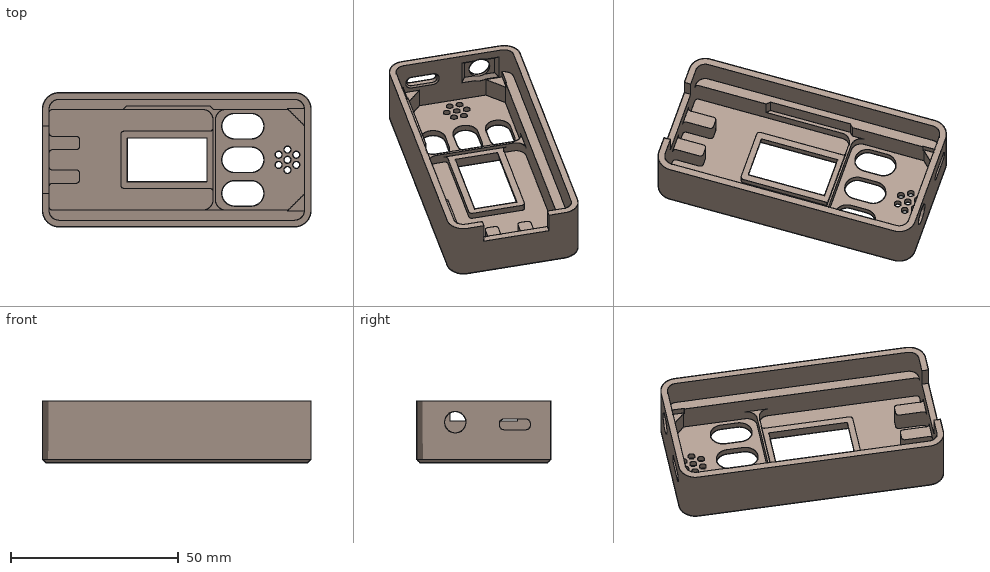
import cadquery as cq
import math

length = 80.0
width = 40.0
height = 18.5
wall = 2.0
inner_corner_radius = 3.0
corner_radius = inner_corner_radius + wall
bottom_chamfer = 1.0

floor_top = 2.0
frame_top = 3.9
divider_top = 5.0
tab_top = 8.0
post_top = 8.0
ledge_top = 10.0

inner_end = length / 2 - wall
inner_side = width / 2 - wall
ledge_width = 3.0
ledge_side = inner_side - ledge_width
ledge_span = (-ledge_side, ledge_side)
divider_left = 10.8
divider_thickness = 0.7
divider_right = divider_left + divider_thickness
divider_fillet = 3.0
small_fillet = 1.0

relief_depth = 1.0
relief_left = -16.0
relief_right = 11.0

window_length = 23.7
window_width = 13.0
window_x = -2.9
window_flare = 1.0
frame_left = -16.6
frame_width = 17.0

tab_right = -29.0
tab_width = 4.0
tab_pitch = 10.0

button_length = 12.5
button_width = 7.5
button_x = 19.7
button_pitch = 10.0

speaker_x = 33.0
speaker_diameter = 2.0
speaker_ring_radius = 3.0
speaker_ring_count = 6

post_leg = 5.0
post_side = 15.2

notch_width = 20.0
notch_depth = 6.0

usb_y = 9.3
usb_z = 11.4
usb_length = 9.2
usb_height = 3.2
usb_radius = 1.4
usb_bevel = 0.5

jack_y = -8.5
jack_z = 12.1
jack_diameter = 6.3
jack_recess_width = 9.3
jack_recess_height = 5.6
jack_bevel = 1.0


def box_between(x_range, y_range, z_range):
    """Box spanning the given (low, high) ranges."""
    spans = (x_range, y_range, z_range)
    sizes = [high - low for low, high in spans]
    corner = tuple(low for low, high in spans)
    return cq.Workplane("XY").box(*sizes, centered=False).translate(corner)


def make_shell():
    """Rounded tray, hollow down to the ledges."""
    body = cq.Workplane("XY").box(length, width, height, centered=(True, True, False))
    body = body.edges("|Z").fillet(corner_radius).faces("<Z").chamfer(bottom_chamfer)
    cavity = (
        cq.Workplane("XY", origin=(0, 0, ledge_top))
        .rect(2 * inner_end, 2 * inner_side)
        .extrude(height - ledge_top)
        .edges("|Z").fillet(inner_corner_radius)
    )
    return body.cut(cavity)


def make_trough():
    """Space between the ledges, above the divider."""
    trough = box_between((-inner_end, inner_end), ledge_span, (divider_top, ledge_top))
    return trough.edges("|Z and <X").fillet(small_fillet)


def make_display_pocket():
    """Pocket left of the divider."""
    pocket = box_between((-inner_end, divider_left), ledge_span, (floor_top, divider_top))
    pocket = pocket.edges("|Z and >X").fillet(divider_fillet)
    return pocket.edges("|Z and <X").fillet(small_fillet)


def make_button_pocket():
    """Pocket right of the divider."""
    pocket = box_between((divider_right, inner_end), ledge_span, (floor_top, divider_top))
    return pocket.edges("|Z and <X").fillet(divider_fillet)


def make_post(side):
    """Triangular prism in a +X corner; side is +1 for +Y and -1 for -Y."""
    return (
        cq.Workplane("XY")
        .moveTo(inner_end, side * post_side)
        .lineTo(inner_end - post_leg, side * post_side)
        .lineTo(inner_end, side * (post_side - post_leg))
        .close()
        .extrude(post_top)
    )


def make_post_clearance(side):
    """Small step in the ledge above a corner post."""
    y_range = sorted((0, side * post_side))
    return box_between((inner_end - post_leg, inner_end), y_range, (post_top, ledge_top))


def make_ledge_relief():
    """Shallow relief with slanted ends in the +Y ledge."""
    return (
        cq.Workplane("XY", origin=(0, 0, divider_top))
        .moveTo(relief_left, ledge_side)
        .lineTo(relief_left + relief_depth, ledge_side + relief_depth)
        .lineTo(relief_right - relief_depth, ledge_side + relief_depth)
        .lineTo(relief_right, ledge_side)
        .close()
        .extrude(ledge_top - divider_top)
    )


def make_raised_pad(tip, root, y_range, top):
    """Pad with a rounded free end at x = tip, blended into a wall face at x = root."""
    low_y, high_y = y_range
    buried_end = root + math.copysign(divider_thickness, root - tip)
    z_range = (0, top)
    pad = box_between(sorted((tip, buried_end)), y_range, z_range)
    pad = pad.edges("|Z").edges("<X" if tip < root else ">X").fillet(small_fillet)

    strip_span = (low_y - 2 * small_fillet, high_y + 2 * small_fillet)
    strip = box_between(sorted((root, buried_end)), strip_span, z_range)
    reach = small_fillet / 2
    inside_corners = cq.selectors.BoxSelector(
        (root - reach, low_y - reach, 0), (root + reach, high_y + reach, top)
    )
    return pad.union(strip).edges("|Z").edges(inside_corners).fillet(small_fillet)


def make_frame():
    """Raised frame around the window, running into the divider."""
    return make_raised_pad(frame_left, divider_left, (-frame_width / 2, frame_width / 2), frame_top)


def make_tab(y):
    """Support tab centred on y, running into the -X wall."""
    return make_raised_pad(tab_right, -inner_end, (y - tab_width / 2, y + tab_width / 2), tab_top)


def make_window():
    """Display window whose sides flare out towards the underside."""
    return (
        cq.Workplane("XY", origin=(window_x, 0, 0))
        .rect(window_length + 2 * window_flare, window_width + 2 * window_flare)
        .workplane(offset=frame_top)
        .rect(window_length, window_width)
        .loft(combine=True)
    )


def make_floor_holes():
    """Button slots and speaker holes."""
    button_points = [(button_x, row * button_pitch) for row in (-1, 0, 1)]
    buttons = (
        cq.Workplane("XY").pushPoints(button_points).slot2D(button_length, button_width).extrude(floor_top)
    )
    speaker = (
        cq.Workplane("XY", origin=(speaker_x, 0, 0))
        .polarArray(speaker_ring_radius, 90, 360, speaker_ring_count)
        .circle(speaker_diameter / 2)
        .extrude(floor_top)
    )
    speaker_center = cq.Workplane("XY").center(speaker_x, 0).circle(speaker_diameter / 2).extrude(floor_top)
    return buttons.union(speaker).union(speaker_center)


def make_usb_slot():
    """Rounded slot through the +X wall, with a 45 degree bevel on its inner edge."""
    slot = (
        cq.Workplane("YZ", origin=(inner_end, usb_y, usb_z))
        .rect(usb_length, usb_height)
        .extrude(wall)
        .edges("|X").fillet(usb_radius)
    )
    bevel = (
        cq.Workplane("YZ", origin=(inner_end, usb_y, usb_z))
        .sketch()
        .rect(usb_length + 2 * usb_bevel, usb_height + 2 * usb_bevel)
        .vertices().fillet(usb_radius + usb_bevel)
        .finalize()
        .extrude(usb_bevel, taper=45)
    )
    return slot.union(bevel)


def make_jack_opening():
    """Round hole through the +X wall, its countersink and the tapered recess around it."""
    jack_plane = cq.Workplane("YZ", origin=(inner_end, jack_y, jack_z))
    hole = jack_plane.circle(jack_diameter / 2).extrude(wall)
    countersink = (
        jack_plane.circle(jack_diameter / 2 + jack_bevel)
        .workplane(offset=jack_bevel)
        .circle(jack_diameter / 2)
        .loft(combine=True)
    )
    recess = (
        jack_plane.rect(jack_recess_width + 2 * jack_bevel, jack_recess_height + 2 * jack_bevel)
        .workplane(offset=jack_bevel)
        .rect(jack_recess_width, jack_recess_height)
        .loft(combine=True)
    )
    return hole.union(countersink).union(recess)


def make_cable_notch():
    """Notch in the rim of the -X wall."""
    notch_span = (-notch_width / 2, notch_width / 2)
    return box_between((-length / 2, -inner_end), notch_span, (height - notch_depth, height))


result = make_shell()
result = result.cut(make_trough()).cut(make_display_pocket()).cut(make_button_pocket())
result = result.cut(make_ledge_relief())

result = result.union(make_frame())
for side in (-1, 1):
    result = result.union(make_tab(side * tab_pitch / 2))
    result = result.union(make_post(side)).cut(make_post_clearance(side))

result = result.cut(make_window()).cut(make_floor_holes())
result = result.cut(make_usb_slot()).cut(make_jack_opening()).cut(make_cable_notch())